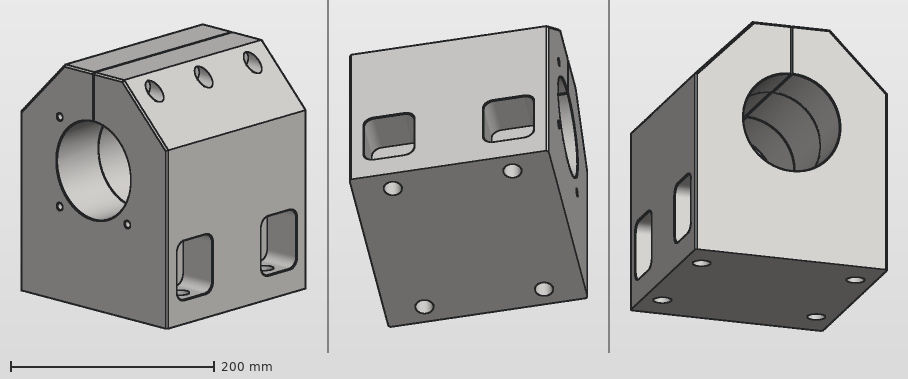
import cadquery as cq
import math

WIDTH = 200.0
LENGTH = WIDTH
HEIGHT = 243.0
SHOULDER = 60.0
END_CHAMFER = 2.0
SIDE = WIDTH / 2
FRONT = -LENGTH / 2
TOP_HALF_WIDTH = SIDE - SHOULDER

BORE_DIAMETER = WIDTH / 2
BORE_HEIGHT = 142.5
BORE_CHAMFER = 1.0
SEAT_LENGTH = 60.0
RELIEF_DIAMETER = 102.0
SLIT_WIDTH = 2.0

TAP_OFFSET = 46.0
TAP_DIAMETER = 6.8
TAP_DEPTH = 20.0
TAP_CHAMFER = 0.7
DRILL_POINT_ANGLE = 118

SCREW_DIAMETER = 18.0
SCREW_DROP = 14.5
SCREW_SPACING = 70.0

POCKET_LENGTH = 50.0
POCKET_HEIGHT = 60.0
POCKET_FLOOR = 25.0
POCKET_DEPTH = 40.0
POCKET_CORNER = 10.0
POCKET_CHAMFER = 1.0
POCKET_OFFSET = 60.0
FOOT_BOLT_DIAMETER = 18.0
FOOT_BOLT_INSET = 20.0


def cylinder(diameter, length, start, direction):
    solid = cq.Solid.makeCylinder(diameter / 2, length, cq.Vector(*start), cq.Vector(*direction))
    return cq.Workplane(solid)


def cone(start_diameter, end_diameter, length, start, direction):
    radii = (start_diameter / 2, end_diameter / 2)
    solid = cq.Solid.makeCone(*radii, length, cq.Vector(*start), cq.Vector(*direction))
    return cq.Workplane(solid)


def block():
    shoulder_height = HEIGHT - SHOULDER
    body = (
        cq.Workplane("XZ", origin=(0, LENGTH / 2, 0))
        .moveTo(-SIDE, 0)
        .lineTo(SIDE, 0)
        .lineTo(SIDE, shoulder_height)
        .lineTo(TOP_HALF_WIDTH, HEIGHT)
        .lineTo(-TOP_HALF_WIDTH, HEIGHT)
        .lineTo(-SIDE, shoulder_height)
        .close()
        .extrude(LENGTH)
    )
    return body.faces("<Y or >Y").edges("not <Z").chamfer(END_CHAMFER)


def bore():
    tool = cylinder(BORE_DIAMETER, LENGTH, (0, FRONT, BORE_HEIGHT), (0, 1, 0))
    relief_length = LENGTH - 2 * SEAT_LENGTH
    relief_start = (0, -relief_length / 2, BORE_HEIGHT)
    tool = tool.union(cylinder(RELIEF_DIAMETER, relief_length, relief_start, (0, 1, 0)))
    mouth_diameter = BORE_DIAMETER + 2 * BORE_CHAMFER
    for inward in (1, -1):
        mouth = (0, inward * FRONT, BORE_HEIGHT)
        tool = tool.union(cone(mouth_diameter, BORE_DIAMETER, BORE_CHAMFER, mouth, (0, inward, 0)))
    return tool


def slit():
    slit_height = HEIGHT - BORE_HEIGHT
    return cq.Workplane("XY", origin=(0, 0, BORE_HEIGHT)).box(
        SLIT_WIDTH, LENGTH, slit_height, centered=(True, True, False)
    )


def tapped_hole(x, z):
    inward = (0, 1, 0)
    shank = cylinder(TAP_DIAMETER, TAP_DEPTH, (x, FRONT, z), inward)
    point_length = TAP_DIAMETER / 2 / math.tan(math.radians(DRILL_POINT_ANGLE / 2))
    point = cone(TAP_DIAMETER, 0, point_length, (x, FRONT + TAP_DEPTH, z), inward)
    mouth = cone(TAP_DIAMETER + 2 * TAP_CHAMFER, TAP_DIAMETER, TAP_CHAMFER, (x, FRONT, z), inward)
    return shank.union(point).union(mouth)


def screw_counterbore(y):
    start = (TOP_HALF_WIDTH, y, HEIGHT - SCREW_DROP)
    return cylinder(SCREW_DIAMETER, SHOULDER, start, (1, 0, 0))


def foot_pocket(side, y):
    centre_height = POCKET_FLOOR + POCKET_HEIGHT / 2
    pocket = (
        cq.Workplane("YZ", origin=(side * SIDE, y, centre_height))
        .rect(POCKET_LENGTH, POCKET_HEIGHT)
        .extrude(-side * POCKET_DEPTH)
        .edges("|X")
        .fillet(POCKET_CORNER)
    )
    rim = (
        cq.Workplane("YZ", origin=(side * SIDE, y, centre_height))
        .sketch()
        .rect(POCKET_LENGTH + 2 * POCKET_CHAMFER, POCKET_HEIGHT + 2 * POCKET_CHAMFER)
        .vertices()
        .fillet(POCKET_CORNER + POCKET_CHAMFER)
        .finalize()
        .extrude(-side * POCKET_CHAMFER, taper=45)
    )
    bolt_axis = side * (SIDE - FOOT_BOLT_INSET)
    bolt = cylinder(FOOT_BOLT_DIAMETER, POCKET_FLOOR + POCKET_CORNER, (bolt_axis, y, 0), (0, 0, 1))
    return pocket.union(rim).union(bolt)


result = block().cut(bore()).cut(slit())

for x_sign, z_sign in ((-1, 1), (-1, -1), (1, -1)):
    result = result.cut(tapped_hole(x_sign * TAP_OFFSET, BORE_HEIGHT + z_sign * TAP_OFFSET))

for row in (-1, 0, 1):
    result = result.cut(screw_counterbore(row * SCREW_SPACING))

for side in (-1, 1):
    for end in (-1, 1):
        result = result.cut(foot_pocket(side, end * POCKET_OFFSET))